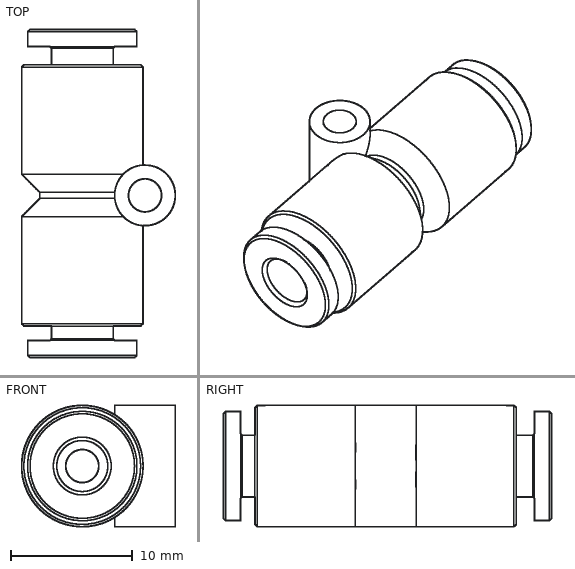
import cadquery as cq

body_radius = 5.0
body_half_length = 10.75
body_chamfer = 0.2

waist_depth = 1.5
waist_floor_width = 0.5

flange_radius = 4.5
flange_thickness = 1.42
flange_chamfer = 0.2
neck_radius = 2.55
neck_root_chamfer = 0.13
front_neck_length = 1.18
rear_neck_length = 1.48

tube_radius = 2.1
tube_mouth_radius = 2.38
tube_mouth_depth = 0.3
tube_stop_distance = 2.0
passage_radius = 1.35

eyelet_x = 5.16
eyelet_radius = 2.5
eyelet_hole_radius = 1.35
eyelet_height = 2 * body_radius


def make_body():
    floor_radius = body_radius - waist_depth
    floor_y = waist_floor_width / 2
    shoulder_y = floor_y + waist_depth
    chamfer_y = body_half_length - body_chamfer
    end_radius = body_radius - body_chamfer
    return (
        cq.Workplane("XY")
        .moveTo(0, -body_half_length)
        .lineTo(end_radius, -body_half_length)
        .lineTo(body_radius, -chamfer_y)
        .lineTo(body_radius, -shoulder_y)
        .lineTo(floor_radius, -floor_y)
        .lineTo(floor_radius, floor_y)
        .lineTo(body_radius, shoulder_y)
        .lineTo(body_radius, chamfer_y)
        .lineTo(end_radius, body_half_length)
        .lineTo(0, body_half_length)
        .close()
        .revolve(360, (0, 0, 0), (0, 1, 0))
    )


def make_collar(neck_length):
    """Collar on the +Y end of the body, before it is bored."""
    flange_y = body_half_length + neck_length
    face_y = flange_y + flange_thickness
    return (
        cq.Workplane("XY")
        .moveTo(0, body_half_length)
        .lineTo(neck_radius, body_half_length)
        .lineTo(neck_radius, flange_y - neck_root_chamfer)
        .lineTo(neck_radius + neck_root_chamfer, flange_y)
        .lineTo(flange_radius, flange_y)
        .lineTo(flange_radius, face_y - flange_chamfer)
        .lineTo(flange_radius - flange_chamfer, face_y)
        .lineTo(0, face_y)
        .close()
        .revolve(360, (0, 0, 0), (0, 1, 0))
    )


def make_tube_socket(neck_length):
    """Volume removed for the tube that enters from the +Y end, with its tapered mouth."""
    face_y = body_half_length + neck_length + flange_thickness
    return (
        cq.Workplane("XY")
        .moveTo(0, tube_stop_distance)
        .lineTo(tube_radius, tube_stop_distance)
        .lineTo(tube_radius, face_y - tube_mouth_depth)
        .lineTo(tube_mouth_radius, face_y)
        .lineTo(0, face_y)
        .close()
        .revolve(360, (0, 0, 0), (0, 1, 0))
    )


def make_passage():
    """Narrow passage joining the two tube sockets."""
    return (
        cq.Workplane("XZ", origin=(0, tube_stop_distance, 0))
        .circle(passage_radius)
        .extrude(2 * tube_stop_distance)
    )


def make_upright(radius):
    """Vertical cylinder on the eyelet axis, over the full eyelet height."""
    return (
        cq.Workplane("XY", origin=(eyelet_x, 0, -eyelet_height / 2))
        .circle(radius)
        .extrude(eyelet_height)
    )


def to_front(shape):
    """Mirror a +Y end feature to the -Y end."""
    return shape.mirror("XZ")


result = (
    make_body()
    .union(make_collar(rear_neck_length))
    .union(to_front(make_collar(front_neck_length)))
    .union(make_upright(eyelet_radius))
    .cut(make_tube_socket(rear_neck_length))
    .cut(to_front(make_tube_socket(front_neck_length)))
    .cut(make_passage())
    .cut(make_upright(eyelet_hole_radius))
)